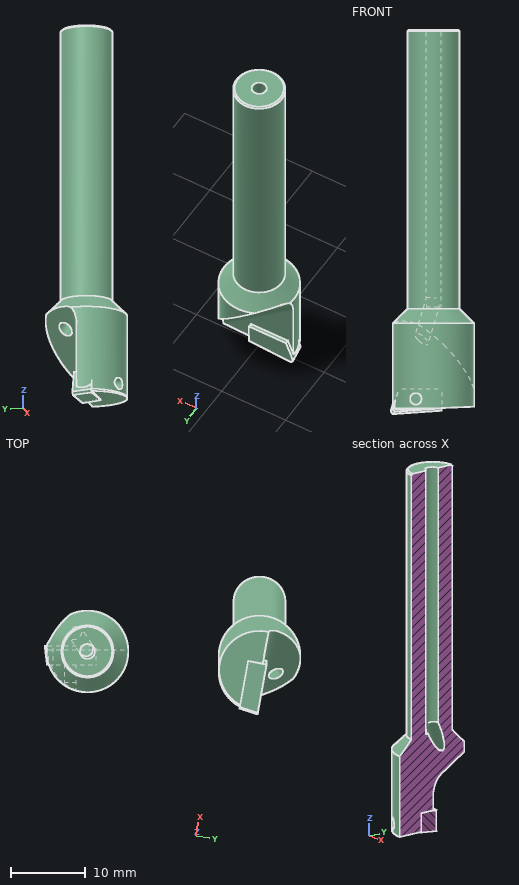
import cadquery as cq
import math

TOP_Z = 51.6
OVERALL_WIDTH = 11.25
SHANK_R = 3.5
SHANK_CHAMFER = 0.2
HEAD_DIAMETER = 11.0
HEAD_R = HEAD_DIAMETER / 2
HEAD_TOP_Z = 12.2
CONE_TOP_Z = HEAD_TOP_Z + HEAD_R - SHANK_R

BEVEL_Z = 0.8
BEVEL_SIZE = BEVEL_Z
UNDERSIDE_Z = 0.75
UNDERSIDE_SLOPE = 2.3

FLOOR_Y = 0.25
WALL_X = 8.65
WALL_LEAN = 0.73
WALL_FALL = 1.2
FLUTE_FILLET = 2.5
FLUTE_REACH = 30.95

BORE_DIAMETER = 2.0
BORE_R = BORE_DIAMETER / 2
BORE_END_Z = 14.45
OUTLET_R = BORE_R
OUTLET_Y = 2.55
OUTLET_Z = 10.1

INSERT_FRONT_Y = 0.75
INSERT_BACK_Y = -1.75
INSERT_END_X = 1.15
INSERT_TOP_Z = 3.4
INSERT_SIDE_X = -4.65
INSERT_NECK = (-5.4, 1.55)
INSERT_NOSE = (HEAD_R - OVERALL_WIDTH, 0.4)
INSERT_TIP = (-5.45, 0.0)
INSERT_END_Z = 0.45
SIDE_RELIEF = 0.3
END_RELIEF = 0.3

SCREW_R = 0.75
SCREW_X = -2.35
SCREW_Z = 2.05
SCREW_OUTER_Y = -4.15


def make_blank():
    """Shank, conical shoulder and bevelled head as one revolved solid."""
    outline = [
        (0, BEVEL_Z - BEVEL_SIZE),
        (HEAD_R - BEVEL_SIZE, BEVEL_Z - BEVEL_SIZE),
        (HEAD_R, BEVEL_Z),
        (HEAD_R, HEAD_TOP_Z),
        (SHANK_R, CONE_TOP_Z),
        (SHANK_R, TOP_Z),
        (0, TOP_Z),
    ]
    blank = cq.Workplane("XZ").polyline(outline).close().revolve(360, (0, 0, 0), (0, 1, 0))
    return blank.faces(">Z").chamfer(SHANK_CHAMFER)


def make_underside_cutter():
    """Block below the sloping underside plane."""
    size = 4 * HEAD_R
    block = cq.Workplane("XY").box(size, size, size, centered=(True, True, False))
    block = block.translate((0, 0, -size))
    return block.rotate((0, 0, 0), (0, 1, 0), -UNDERSIDE_SLOPE).translate((0, 0, UNDERSIDE_Z))


def make_flute_cutter():
    """Prism running along the wall's fall line, with a filleted inner corner."""
    stretch = math.hypot(1, WALL_FALL)
    plane = cq.Plane(origin=(WALL_X, 0, 0), xDir=(1, 0, WALL_FALL), normal=(-WALL_FALL, 0, 1))
    high_y = 2 * HEAD_R
    corner_u = WALL_LEAN * FLOOR_Y / stretch
    outline = [
        (-FLUTE_REACH, FLOOR_Y),
        (corner_u, FLOOR_Y),
        (WALL_LEAN * high_y / stretch, high_y),
        (-FLUTE_REACH, high_y),
    ]
    prism = cq.Workplane(plane).polyline(outline).close().extrude(FLUTE_REACH, both=True)
    corner = plane.toWorldCoords((corner_u, FLOOR_Y, 0))
    return prism.edges(cq.selectors.NearestToPointSelector(corner.toTuple())).fillet(FLUTE_FILLET)


def make_coolant_channel():
    """Axial bore joined to the oblique outlet, which runs on past the flute wall."""
    bore = cq.Workplane("XY").workplane(offset=BORE_END_Z).circle(BORE_R).extrude(TOP_Z - BORE_END_Z)
    outlet_x = WALL_X + WALL_LEAN * OUTLET_Y - WALL_FALL * OUTLET_Z
    start = cq.Vector(0, 0, BORE_END_Z + BORE_R)
    run = cq.Vector(outlet_x, OUTLET_Y, OUTLET_Z) - start
    overrun = 2 * OUTLET_R
    outlet = cq.Solid.makeCylinder(OUTLET_R, run.Length + overrun, start, run)
    return bore.union(cq.Workplane(outlet))


def make_insert():
    """Insert whose cutting edges recede inward and upward toward its back face."""
    back_edge = [(x + SIDE_RELIEF, z + END_RELIEF) for x, z in (INSERT_NECK, INSERT_NOSE, INSERT_TIP)]
    front_edge = [INSERT_NECK, INSERT_NOSE, INSERT_TIP]
    top_corners = [(INSERT_END_X, INSERT_TOP_Z), (INSERT_SIDE_X, INSERT_TOP_Z)]
    front_face = front_edge + [(INSERT_END_X, INSERT_END_Z)] + top_corners
    back_face = back_edge + [(INSERT_END_X, INSERT_END_Z + END_RELIEF)] + top_corners
    return (
        cq.Workplane("XZ", origin=(0, INSERT_FRONT_Y, 0))
        .polyline(front_face)
        .close()
        .workplane(offset=INSERT_FRONT_Y - INSERT_BACK_Y)
        .polyline(back_face)
        .close()
        .loft(ruled=True)
    )


def make_screw_cylinder(outer_y):
    """Cylinder along the screw axis from outer_y to the back of the insert."""
    length = INSERT_BACK_Y - outer_y
    return cq.Workplane("XZ", origin=(SCREW_X, INSERT_BACK_Y, SCREW_Z)).circle(SCREW_R).extrude(length)


insert = make_insert()
screw = make_screw_cylinder(SCREW_OUTER_Y)
holder = (
    make_blank()
    .cut(make_underside_cutter())
    .cut(make_flute_cutter())
    .cut(make_coolant_channel())
    .cut(make_screw_cylinder(-2 * HEAD_R))
    .cut(insert)
)

result = cq.Compound.makeCompound([holder.val(), insert.val(), screw.val()])